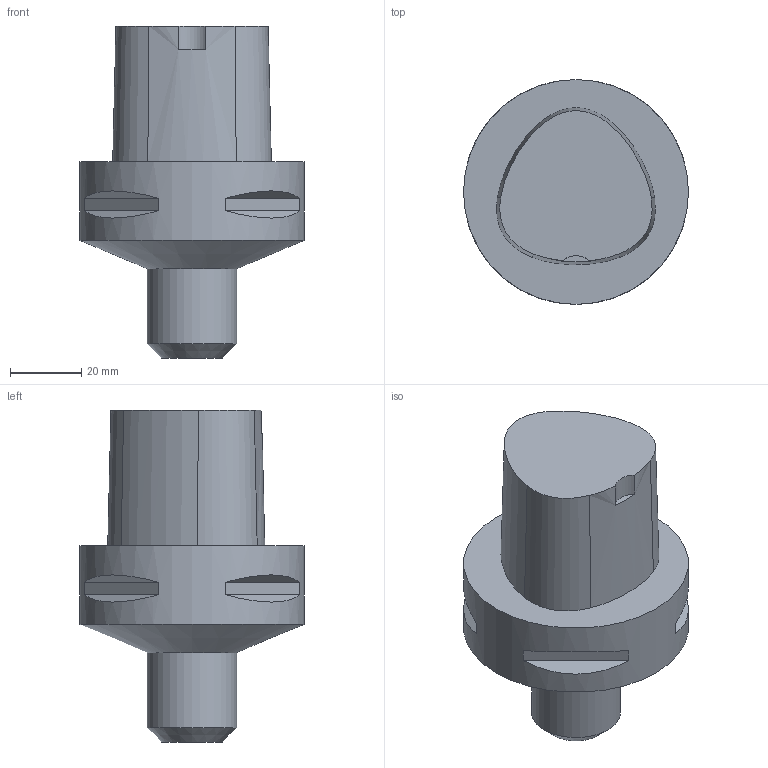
import cadquery as cq
import math

collar_diameter = 63.0
collar_height = 22.0
cone_height = 8.0
pin_diameter = 25.0
pin_length = 25.0
pin_chamfer = 4.0

shank_height = 38.0
shank_diameter = 44.0
lobe_eccentricity = 1.6
shank_taper_inset = 0.9
shank_face_count = 6
points_per_span = 9

groove_count = 4
groove_floor_width = 3.4
groove_floor_distance = 27.85
groove_flank_angle = 30.0
groove_depth_below_top = 12.0
groove_cutter_overrun = 1.0

notch_radius = 5.5
notch_height = 6.5
notch_innermost_y = -17.9

collar_radius = collar_diameter / 2
pin_radius = pin_diameter / 2


def make_turned_body():
    """Collar, cone and chamfered pin as one revolved half section."""
    cone_end_z = -(collar_height + cone_height)
    pin_end_z = cone_end_z - pin_length
    return (
        cq.Workplane("XZ")
        .moveTo(0, 0)
        .lineTo(collar_radius, 0)
        .lineTo(collar_radius, -collar_height)
        .lineTo(pin_radius, cone_end_z)
        .lineTo(pin_radius, pin_end_z + pin_chamfer)
        .lineTo(pin_radius - pin_chamfer, pin_end_z)
        .lineTo(0, pin_end_z)
        .close()
        .revolve(360, (0, 0, 0), (0, 1, 0))
    )


def lobe_point(angle, inset, z):
    """Point of the three-lobed curve at a parameter angle, moved inward along its normal."""
    radius = shank_diameter / 2
    x = radius * math.sin(angle) - lobe_eccentricity * math.sin(2 * angle)
    y = radius * math.cos(angle) + lobe_eccentricity * math.cos(2 * angle)
    slope_x = radius * math.cos(angle) - 2 * lobe_eccentricity * math.cos(2 * angle)
    slope_y = -radius * math.sin(angle) - 2 * lobe_eccentricity * math.sin(2 * angle)
    slope = math.hypot(slope_x, slope_y)
    return cq.Vector(x + inset * slope_y / slope, y - inset * slope_x / slope, z)


def make_lobe_outline(inset, z):
    """Closed outline of the shank, made of equal parameter spans."""
    span = 2 * math.pi / shank_face_count
    edges = []
    for index in range(shank_face_count):
        start = (index + 0.5) * span
        angles = [start + span * step / (points_per_span - 1) for step in range(points_per_span)]
        edges.append(cq.Edge.makeSpline([lobe_point(angle, inset, z) for angle in angles]))
    return cq.Wire.assembleEdges(edges)


def make_shank():
    base_outline = make_lobe_outline(0, 0)
    top_outline = make_lobe_outline(shank_taper_inset, shank_height)
    return cq.Workplane(obj=cq.Solid.makeLoft([base_outline, top_outline], True))


def make_notch_cutter():
    return (
        cq.Workplane("XY", origin=(0, 0, shank_height - notch_height))
        .center(0, notch_innermost_y - notch_radius)
        .circle(notch_radius)
        .extrude(notch_height)
    )


def make_groove_cutter():
    """Trapezoidal bar along Y that opens outward in +X."""
    outer_distance = collar_radius + groove_cutter_overrun
    depth = outer_distance - groove_floor_distance
    floor_half = groove_floor_width / 2
    mouth_half = floor_half + depth * math.tan(math.radians(groove_flank_angle))
    return (
        cq.Workplane("XZ", origin=(0, 0, -groove_depth_below_top))
        .moveTo(groove_floor_distance, -floor_half)
        .lineTo(outer_distance, -mouth_half)
        .lineTo(outer_distance, mouth_half)
        .lineTo(groove_floor_distance, floor_half)
        .close()
        .extrude(collar_radius, both=True)
    )


result = make_turned_body().union(make_shank()).cut(make_notch_cutter())

groove_cutter = make_groove_cutter()
groove_spacing = 360 / groove_count
for index in range(groove_count):
    groove_angle = (index + 0.5) * groove_spacing
    result = result.cut(groove_cutter.rotate((0, 0, 0), (0, 0, 1), groove_angle))